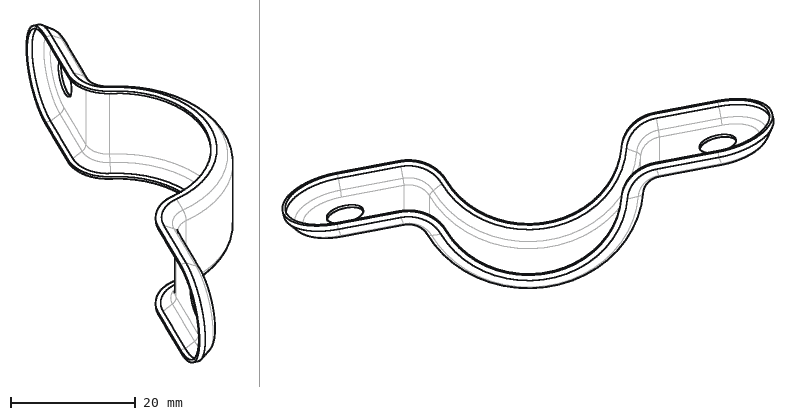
import cadquery as cq
import math

length = 80.5
height = 19.3
width = 18.0

sheet = 0.5
depth = 3.55
lip = 1.0
rim_inset = 2.7
rim_radius = 1.9

saddle_radius = 18.5
bend_radius = 3.3

hole_diameter = 6.0
hole_spacing = 61.2

radius_sum = saddle_radius + bend_radius
saddle_centre_y = height - saddle_radius
bend_centre_y = depth + bend_radius
centre_rise = bend_centre_y - saddle_centre_y
bend_centre_x = math.sqrt(radius_sum**2 - centre_rise**2)
join_angle = math.asin(centre_rise / radius_sum)

half_width = width / 2
end_centre_x = length / 2 - half_width

rim_centre_z = half_width - rim_inset
rim_centre_y = depth - rim_radius
centre_above_lip = rim_centre_y - lip
lip_to_centre = math.hypot(rim_inset, centre_above_lip)
slope_normal = math.acos(rim_radius / lip_to_centre) - math.atan2(centre_above_lip, rim_inset)


def rim_point(radius, angle):
    """Point (y, z) on an arc about the rim rounding centre, at an angle from the Z direction."""
    return (rim_centre_y + radius * math.sin(angle), rim_centre_z + radius * math.cos(angle))


def half_skin(offset):
    """Lip top, slope end, arc middle and arc end of a skin lying inside the outer face by offset."""
    radius = rim_radius - offset
    lip_top = (lip - offset * math.tan(slope_normal / 2), half_width - offset)
    slope_end = rim_point(radius, slope_normal)
    arc_middle = rim_point(radius, (slope_normal + math.pi / 2) / 2)
    arc_end = rim_point(radius, math.pi / 2)
    return lip_top, slope_end, arc_middle, arc_end


def half_section(x):
    """Channel cross-section at x, from the lip on the +Z side to the middle of the strap."""
    outer_lip, outer_slope, outer_middle, outer_end = half_skin(0)
    inner_lip, inner_slope, inner_middle, inner_end = half_skin(sheet)
    return (
        cq.Workplane("YZ", origin=(x, 0, 0))
        .moveTo(0, half_width)
        .lineTo(*outer_lip)
        .lineTo(*outer_slope)
        .threePointArc(outer_middle, outer_end)
        .lineTo(depth, 0)
        .lineTo(depth - sheet, 0)
        .lineTo(*inner_end)
        .threePointArc(inner_middle, inner_slope)
        .lineTo(*inner_lip)
        .lineTo(0, half_width - sheet)
        .close()
    )


def strap_path():
    """Line of the open edge, from one end centre to the other."""
    bend_edge = bend_radius + depth
    saddle_edge = saddle_radius - depth
    half_bend = (math.pi / 2 - join_angle) / 2
    bend_middle_x = bend_centre_x - bend_edge * math.sin(half_bend)
    bend_middle_y = bend_centre_y - bend_edge * math.cos(half_bend)
    join_x = saddle_edge * math.cos(join_angle)
    join_y = saddle_centre_y + saddle_edge * math.sin(join_angle)
    return (
        cq.Workplane("XY")
        .moveTo(-end_centre_x, 0)
        .lineTo(-bend_centre_x, 0)
        .threePointArc((-bend_middle_x, bend_middle_y), (-join_x, join_y))
        .threePointArc((0, height - depth), (join_x, join_y))
        .threePointArc((bend_middle_x, bend_middle_y), (bend_centre_x, 0))
        .lineTo(end_centre_x, 0)
    )


upper_strap = half_section(-end_centre_x).sweep(strap_path())
strap = upper_strap.union(upper_strap.mirror("XY"))

right_end = half_section(end_centre_x).revolve(180, (0, 0), (1, 0))
left_end = right_end.mirror("YZ")
body = strap.union(right_end).union(left_end)

hole_centres = [(-hole_spacing / 2, 0), (hole_spacing / 2, 0)]
holes = cq.Workplane("XZ").pushPoints(hole_centres).circle(hole_diameter / 2).extrude(-depth)

result = body.cut(holes)